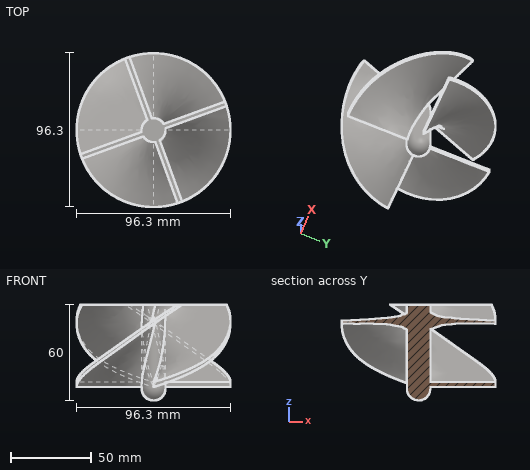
import cadquery as cq
import math

hub_diameter = 15.0
hub_radius = hub_diameter / 2
nose_center_z = -1.0

rotor_radius = 48.15
blade_top_z = 51.5
blade_count = 4
blade_twist = 110.0
start_thickness = 3.2
end_width = 3.0

middle_heights = [start_thickness / 2, 9.7, 20.9, 36.1, blade_top_z]

root_reach = 4.8
rim_reach = rotor_radius + 1.9


def blade_edge(reach, side):
    """Long edge of a blade: side +1 is its upper surface, -1 its lower surface."""
    points = []
    for step, middle_z in enumerate(middle_heights):
        progress = step / (len(middle_heights) - 1)
        angle = math.radians(blade_twist * progress)
        sideways = -side * progress * end_width / 2
        rise = side * (1 - progress) * start_thickness / 2
        x = reach * math.cos(angle) - sideways * math.sin(angle)
        y = reach * math.sin(angle) + sideways * math.cos(angle)
        points.append(cq.Vector(x, y, middle_z + rise))
    return cq.Edge.makeSpline(points)


def make_blade():
    """Closed solid ruled between the four long edges of a blade."""
    corner_edges = [
        blade_edge(root_reach, -1),
        blade_edge(rim_reach, -1),
        blade_edge(rim_reach, 1),
        blade_edge(root_reach, 1),
    ]
    next_edges = corner_edges[1:] + corner_edges[:1]
    faces = [cq.Face.makeRuledSurface(a, b) for a, b in zip(corner_edges, next_edges)]
    starts = [edge.startPoint() for edge in corner_edges]
    ends = [edge.endPoint() for edge in corner_edges]
    for corners in (starts, ends):
        faces.append(cq.Face.makeFromWires(cq.Wire.makePolygon(corners, close=True)))
    solid = cq.Solid.makeSolid(cq.Shell.makeShell(faces))
    return cq.Workplane(obj=solid.fix())


def make_hub():
    shaft = (
        cq.Workplane("XY", origin=(0, 0, nose_center_z))
        .circle(hub_radius)
        .extrude(blade_top_z - nose_center_z)
    )
    nose = cq.Workplane("XY").sphere(hub_radius).translate((0, 0, nose_center_z))
    return shaft.union(nose)


rim = cq.Workplane("XY").circle(rotor_radius).extrude(blade_top_z)
blade = make_blade().intersect(rim)

result = make_hub()
for index in range(blade_count):
    turn = index * 360 / blade_count
    result = result.union(blade.rotate((0, 0, 0), (0, 0, 1), turn))